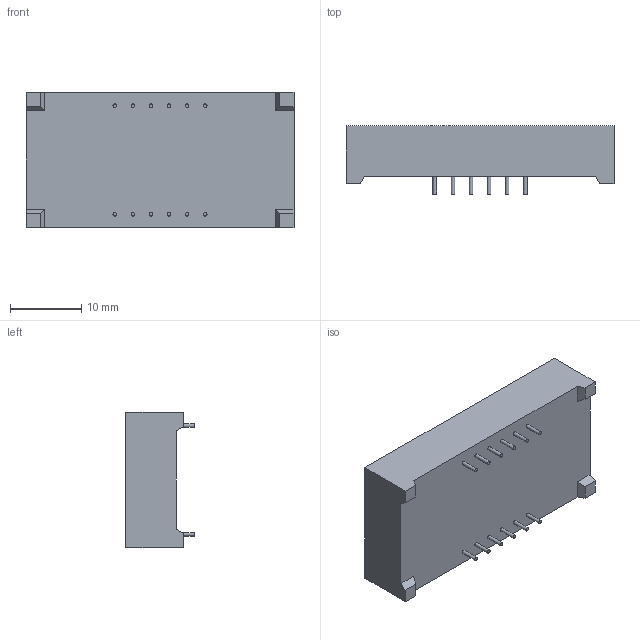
import cadquery as cq
import math

BODY_WIDTH = 37.6
BODY_HEIGHT = 19.0
BODY_DEPTH = 7.1

FOOT_TIP_SIDE = 2.0
FOOT_HEIGHT = 1.0
FOOT_DRAFT_ANGLE = 30.0
FOOT_BASE_SIDE = FOOT_TIP_SIDE + FOOT_HEIGHT * math.tan(math.radians(FOOT_DRAFT_ANGLE))

PIN_DIAMETER = 0.5
PIN_LENGTH = 2.5
PIN_PITCH = 2.54
PINS_PER_ROW = 6
PIN_ROW_COUNT = 2
PIN_ROW_SPACING = 15.24


def make_block(depth):
    """Block with the body outline, running from Y = 0 to Y = depth."""
    return cq.Workplane("XZ").rect(BODY_WIDTH, BODY_HEIGHT).extrude(-depth)


def make_feet():
    """Four corner feet, each a quarter of a frustum centred on a body corner."""
    frustums = (
        cq.Workplane("XZ")
        .rect(BODY_WIDTH, BODY_HEIGHT, forConstruction=True)
        .vertices()
        .rect(2 * FOOT_BASE_SIDE, 2 * FOOT_BASE_SIDE)
        .extrude(FOOT_HEIGHT, taper=FOOT_DRAFT_ANGLE)
    )
    foot_layer = make_block(FOOT_HEIGHT).translate((0, -FOOT_HEIGHT, 0))
    return frustums.intersect(foot_layer)


def make_pins():
    """Both rows of pins, standing on the rear face."""
    return (
        cq.Workplane("XZ")
        .rarray(PIN_PITCH, PIN_ROW_SPACING, PINS_PER_ROW, PIN_ROW_COUNT)
        .circle(PIN_DIAMETER / 2)
        .extrude(PIN_LENGTH)
    )


result = make_block(BODY_DEPTH).union(make_feet()).union(make_pins())